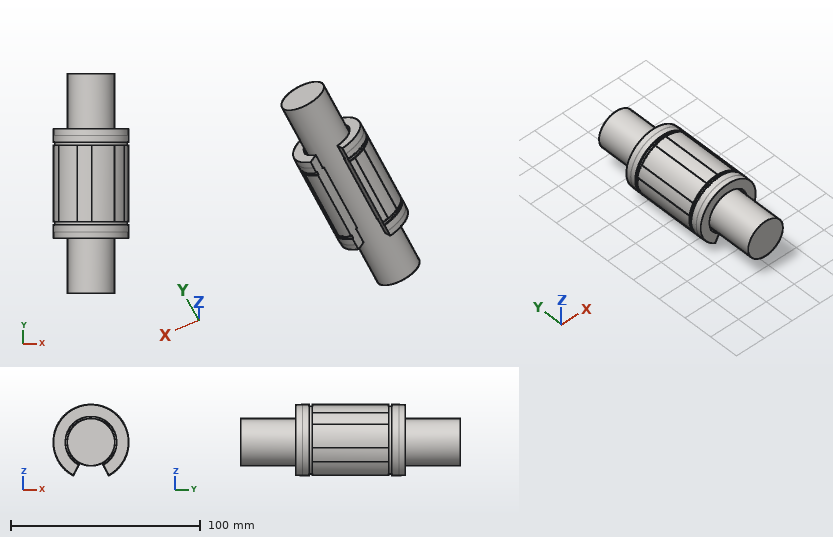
import cadquery as cq
import math

shaft_length = 116.0
shaft_diameter = 25.0

body_diameter = 39.7
body_length = 40.3
groove_diameter = 38.3
groove_width = 1.7
ring_diameter = 39.9
ring_end_diameter = 39.5
ring_width = 7.1
ring_taper_length = 3.5
ring_bore = 27.1
sleeve_length = body_length + 2 * (groove_width + ring_width)

opening_half_angle = 28.0

plate_angle = 23.0
plate_pitch = 60.0
plate_count = 5
first_plate_angle = -130.0
plate_height = 0.1


def cylinder(diameter, length):
    """Cylinder along Y, centred on the origin."""
    return cq.Workplane("XZ").circle(diameter / 2).extrude(length / 2, both=True)


def sector(center_angle, width_angle, length):
    """Triangular wedge along Y reaching outside the sleeve, angled clockwise from +Z."""
    reach = ring_diameter

    def point(angle):
        return (reach * math.sin(math.radians(angle)), reach * math.cos(math.radians(angle)))

    return (
        cq.Workplane("XZ")
        .polyline([(0, 0), point(center_angle - width_angle / 2), point(center_angle + width_angle / 2)])
        .close()
        .extrude(length / 2, both=True)
    )


def make_sleeve_blank():
    """Turned sleeve: body, two grooves and two end rings with tapered outer ends."""
    body_end = body_length / 2
    groove_end = body_end + groove_width
    sleeve_end = sleeve_length / 2
    taper_start = sleeve_end - ring_taper_length
    half_profile = [
        (body_diameter / 2, body_end),
        (groove_diameter / 2, body_end),
        (groove_diameter / 2, groove_end),
        (ring_diameter / 2, groove_end),
        (ring_diameter / 2, taper_start),
        (ring_end_diameter / 2, sleeve_end),
        (ring_bore / 2, sleeve_end),
        (ring_bore / 2, body_end),
        (0, body_end),
    ]
    mirrored_profile = [(radius, -y) for radius, y in reversed(half_profile)]
    return (
        cq.Workplane("XY")
        .polyline(half_profile + mirrored_profile)
        .close()
        .revolve(360, (0, 0, 0), (0, 1, 0))
    )


def add_plates(sleeve):
    """Add the plates, standing slightly proud of the sleeve body."""
    skin = cylinder(body_diameter + 2 * plate_height, body_length).cut(
        cylinder(body_diameter, body_length)
    )
    for index in range(plate_count):
        angle = first_plate_angle + index * plate_pitch
        sleeve = sleeve.union(skin.intersect(sector(angle, plate_angle, body_length)))
    return sleeve


sleeve = add_plates(make_sleeve_blank())
sleeve = sleeve.cut(sector(180, 2 * opening_half_angle, sleeve_length))
result = sleeve.union(cylinder(shaft_diameter, shaft_length))